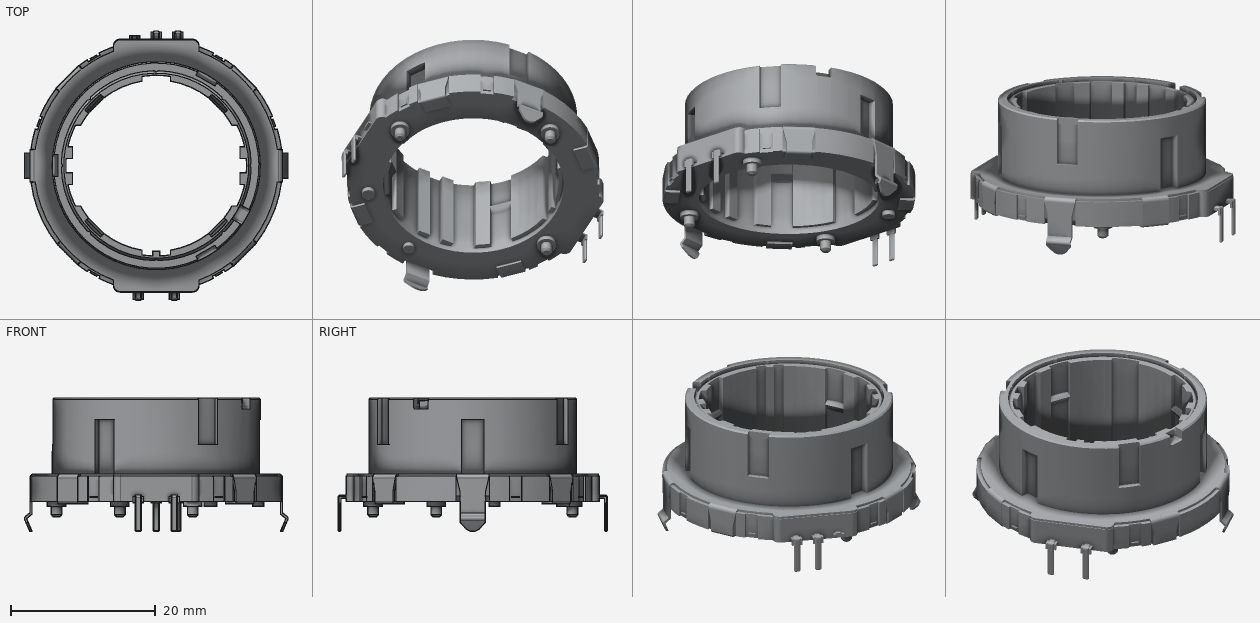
import cadquery as cq
import math

base_height = 3.5
sheet = 0.33
cover_top = base_height + sheet
sleeve_top = 14.35
rotor_top = 13.95
lowest_z = -4.15

bore_radius = 12.5
base_radius = 17.5
cover_radius = 16.9
sleeve_radius = 14.4
sleeve_bore_radius = 13.15
rotor_shoulder_radius = 12.8
rim_chamfer = 0.2

pad_half_width = 5.93
pad_reach = 17.52
pad_corner = 0.95
cover_pad_inset = 0.1

slot_width = 3.05
upper_slot_floor = 13.6
upper_slot_bottom = 7.9
upper_slot_angles = (60, 180, 300)
lower_slot_floor = 13.25
lower_slot_top = 11.33
lower_slot_angles = (0, 120, 240)

rim_notch_angle = -30
rim_notch_width = 2.3
rim_notch_depth = 1.58
rim_notch_corner = 0.3

rim_ridge_count = 8
rim_ridge_width = 1.0
rim_ridge_height = 0.2

rib_radius = 11.85
rib_bottom = 0.9
rib_near_x = 1.95
rib_near_y = 5.58
side_tooth_inner = 11.57
side_tooth_width = 1.67
side_tooth_offset = 1.8
key_width = 1.02
key_inner = 11.83

gap_angles = (45, 135, 225, 315)
gap_width = 3.06
catch_top = 9.15
catch_lip_radius = 12.1
catch_lip_z = 9.0
catch_nose_radius = 11.75
catch_nose_z = 8.65
catch_bottom = 7.62

tab_top_width = 4.46
tab_width = 3.52
taper_start_z = 3.3
taper_end_z = 1.4
bend_radius = 0.6
tab_root = 16.0
tab_clearance = 0.06
tapered_clamp_angles = (45, 135, 315)
straight_clamp_angle = 225
straight_clamp_width = 3.95
clamp_fold_radius = 0.35
clamp_reach = 17.4
clamp_foot_inner = 15.3
spring_angles = (0, 180)
spring_reach = 17.5
spring_bend_z = -1.57
spring_slant_reach = 18.0
spring_slant_z = -1.98
spring_knee_reach = 18.25
spring_knee_z = -2.375
spring_return_reach = 18.15
spring_return_z = -2.65
spring_tip_reach = 17.17
spring_shoulder_z = -2.9
spring_tip_half_width = 0.9
spring_tip_rise = 0.35
relief_height = 0.78
relief_depth = 0.4

panel_angles = (20, 60, 120, 160, 240, 300)
panel_width = 1.85
panel_reach = 17.15
ridge_width = 1.05
ridge_height = 0.15
ridge_z = 0.63
ridge_reach = 17.4

foot_height = 0.66
peg_radius = 0.76
peg_bottom = -2.12
peg_chamfer = 0.3
peg_foot_radius = 1.3
peg_places = ((-13.8, -5.05), (-5.05, 13.8), (5.05, -13.8))
standoffs = ((14.1, 3.0, 0.78), (7.5, 12.5, 0.9))

pin_reach = 18.65
pin_thickness = 0.42
pin_width = 0.9
pin_edge_chamfer = 0.15
pin_top = 0.92
pin_root = 16.8
pin_bend = 0.35
head_width = 1.46
head_reach = 18.5
head_thickness = 0.3
head_bottom = -0.2
head_top = 0.72
front_pins = (-2.5, 2.5)
rear_pins = (0, 3.0)
rear_stub_x = -3.0
stub_reach = 18.0

overlap = 0.1
clear = 1.0


def cylinder(radius, bottom, top):
    return cq.Workplane("XY").workplane(offset=bottom).circle(radius).extrude(top - bottom)


def block(x_range, y_range, z_range):
    size = [high - low for low, high in (x_range, y_range, z_range)]
    corner = (x_range[0], y_range[0], z_range[0])
    return cq.Workplane("XY").box(*size, centered=False).translate(corner)


def radial_block(inner, outer, width, bottom, top):
    """Block along +X, centred on y = 0."""
    return block((inner, outer), (-width / 2, width / 2), (bottom, top))


def turned(shape, angle):
    return shape.rotate((0, 0, 0), (0, 0, 1), angle)


def disc_with_pads(radius, half_width, reach, corner, bottom, top):
    """Round plate widened by a straight pad at +Y and at -Y."""
    pads = block((-half_width, half_width), (-reach, reach), (bottom, top))
    pads = pads.edges("|Z").fillet(corner)
    return cylinder(radius, bottom, top).union(pads)


def make_base():
    base = disc_with_pads(base_radius, pad_half_width, pad_reach, pad_corner, 0, base_height)
    cover = disc_with_pads(
        cover_radius, pad_half_width, pad_reach - cover_pad_inset, pad_corner, base_height, cover_top
    )
    for angle in tapered_clamp_angles:
        base = base.cut(turned(make_tab_notch(clamp_reach, tab_top_width), angle))
    base = base.cut(turned(make_tab_notch(clamp_reach, straight_clamp_width), straight_clamp_angle))
    for angle in spring_angles:
        base = base.cut(turned(make_tab_notch(spring_reach, tab_top_width), angle))
        base = base.cut(turned(make_spring_relief(), angle))
    panel = make_panel_cutter()
    ridge = make_panel_ridge()
    for angle in panel_angles:
        base = base.cut(turned(panel, angle))
        base = base.union(turned(ridge, angle))
    return base.union(cover)


def make_tab_notch(reach, width):
    floor = reach - sheet - tab_clearance
    return radial_block(floor, reach + clear, width + 2 * tab_clearance, -overlap, base_height + overlap)


def make_spring_relief():
    """Wedge that bevels the lower edge of the notch floor."""
    floor = spring_reach - sheet - tab_clearance
    profile = [(floor, relief_height), (floor - relief_depth, 0), (floor, 0)]
    half_width = tab_top_width / 2 + tab_clearance
    return cq.Workplane("XZ").polyline(profile).close().extrude(half_width, both=True)


def make_panel_cutter():
    return radial_block(panel_reach, base_radius + clear, panel_width, -overlap, base_height + overlap)


def make_panel_ridge():
    half_height = ridge_height / 2
    return radial_block(
        panel_reach - overlap, ridge_reach, ridge_width, ridge_z - half_height, ridge_z + half_height
    )


def make_sleeve():
    sleeve = cylinder(sleeve_radius, 0, sleeve_top).faces(">Z").edges().chamfer(rim_chamfer)
    outside = sleeve_radius + clear
    upper = radial_block(upper_slot_floor, outside, slot_width, upper_slot_bottom, sleeve_top + overlap)
    for angle in upper_slot_angles:
        sleeve = sleeve.cut(turned(upper, angle))
    lower = radial_block(lower_slot_floor, outside, slot_width, cover_top, lower_slot_top)
    for angle in lower_slot_angles:
        sleeve = sleeve.cut(turned(lower, angle))
    rim_notch = radial_block(
        rotor_shoulder_radius, outside, rim_notch_width, sleeve_top - rim_notch_depth, sleeve_top + clear
    )
    rim_notch = rim_notch.edges("|X and <Z").fillet(rim_notch_corner)
    return sleeve.cut(turned(rim_notch, rim_notch_angle))


def make_bore_cutter():
    """Turned cavity: plain bore, flat rotor top, sloped step and rim bore."""
    step = sleeve_bore_radius - rotor_shoulder_radius
    profile = [
        (0, -clear),
        (bore_radius, -clear),
        (bore_radius, rotor_top),
        (rotor_shoulder_radius, rotor_top),
        (sleeve_bore_radius, rotor_top - step),
        (sleeve_bore_radius, sleeve_top + clear),
        (0, sleeve_top + clear),
    ]
    return cq.Workplane("XZ").polyline(profile).close().revolve(360, (0, 0, 0), (0, 1, 0))


def make_rim_ridge():
    root = sleeve_bore_radius + overlap
    half_width = rim_ridge_width / 2
    profile = [(root, -half_width), (sleeve_bore_radius - rim_ridge_height, 0), (root, half_width)]
    bottom = rotor_top - sleeve_bore_radius + rotor_shoulder_radius
    return cq.Workplane("XY").workplane(offset=bottom).polyline(profile).close().extrude(sleeve_top - bottom)


def make_catch():
    """Snap catch standing in a rib gap."""
    root = bore_radius + overlap
    profile = [
        (root, catch_top),
        (bore_radius, catch_top),
        (catch_lip_radius, catch_lip_z),
        (catch_nose_radius, catch_nose_z),
        (bore_radius, catch_bottom),
        (root, catch_bottom),
    ]
    return cq.Workplane("XZ").polyline(profile).close().extrude(gap_width / 2, both=True)


def make_bore_ribs():
    outer = bore_radius + overlap
    ribs = cylinder(outer, rib_bottom, rotor_top).cut(cylinder(rib_radius, 0, sleeve_top))
    heights = (0, sleeve_top)
    ribs = ribs.cut(block((-rib_near_x, rib_near_x), (-outer, outer), heights))
    ribs = ribs.cut(block((-outer, outer), (-rib_near_y, rib_near_y), heights))
    gap = radial_block(0, outer, gap_width, 0, sleeve_top)
    catch = make_catch()
    for angle in gap_angles:
        ribs = ribs.cut(turned(gap, angle)).union(turned(catch, angle))
    for side in (0, 180):
        for offset in (-side_tooth_offset, side_tooth_offset):
            tooth = radial_block(side_tooth_inner, outer, side_tooth_width, rib_bottom, rotor_top)
            ribs = ribs.union(turned(tooth.translate((0, offset, 0)), side))
    key = radial_block(key_inner, outer, key_width, rib_bottom, rotor_top)
    return ribs.union(turned(key, -90)).intersect(cylinder(outer, 0, sleeve_top))


def tab_start(reach):
    """Outer side of a tab as far as the end of its top bend."""
    bend_shift = bend_radius * (1 - math.sqrt(0.5))
    return (
        cq.Workplane("XZ")
        .moveTo(tab_root, cover_top)
        .lineTo(reach - bend_radius, cover_top)
        .threePointArc((reach - bend_shift, cover_top - bend_shift), (reach, cover_top - bend_radius))
    )


def tab_end(profile, reach, width):
    """Inner side of the top bend, back to the root of the tab."""
    inner_radius = bend_radius - sheet
    inner_x = reach - sheet
    shift = inner_radius * (1 - math.sqrt(0.5))
    return (
        profile.lineTo(inner_x, cover_top - bend_radius)
        .threePointArc((inner_x - shift, base_height - shift), (inner_x - inner_radius, base_height))
        .lineTo(tab_root, base_height)
        .close()
        .extrude(width / 2, both=True)
    )


def taper_outline(lower_end):
    """Face of a tapered tab in Y and Z; lower_end adds its part below the taper, from +Y to -Y."""
    outline = (
        cq.Workplane("YZ")
        .moveTo(tab_top_width / 2, cover_top + overlap)
        .lineTo(tab_top_width / 2, taper_start_z)
        .lineTo(tab_width / 2, taper_end_z)
    )
    return (
        lower_end(outline)
        .lineTo(-tab_width / 2, taper_end_z)
        .lineTo(-tab_top_width / 2, taper_start_z)
        .lineTo(-tab_top_width / 2, cover_top + overlap)
        .close()
        .extrude(2 * base_radius)
    )


def square_end(outline):
    return outline.lineTo(tab_width / 2, -clear).lineTo(-tab_width / 2, -clear)


def rounded_tip(outline):
    tip_z = lowest_z + spring_tip_rise
    return (
        outline.lineTo(tab_width / 2, spring_shoulder_z)
        .lineTo(spring_tip_half_width, tip_z)
        .threePointArc((0, lowest_z), (-spring_tip_half_width, tip_z))
        .lineTo(-tab_width / 2, spring_shoulder_z)
    )


def make_clamp_tab(width):
    """Tab bent down the side of the base and folded inward under it."""
    profile = (
        tab_start(clamp_reach)
        .lineTo(clamp_reach, -sheet)
        .lineTo(clamp_foot_inner, -sheet)
        .lineTo(clamp_foot_inner, 0)
        .lineTo(clamp_reach - sheet, 0)
    )
    tab = tab_end(profile, clamp_reach, width)
    return tab.edges("|Y and >X and <Z").edges("<Z").fillet(clamp_fold_radius)


def make_spring_tab():
    """Long tab with a rounded knee and a rounded tip."""
    profile = (
        tab_start(spring_reach)
        .lineTo(spring_reach, spring_bend_z)
        .lineTo(spring_slant_reach, spring_slant_z)
        .threePointArc((spring_knee_reach, spring_knee_z), (spring_return_reach, spring_return_z))
        .lineTo(spring_tip_reach + sheet, lowest_z)
        .lineTo(spring_tip_reach, lowest_z)
        .lineTo(spring_knee_reach - sheet, spring_knee_z)
        .lineTo(spring_reach - sheet, spring_bend_z - sheet / 2)
    )
    return tab_end(profile, spring_reach, tab_top_width).intersect(taper_outline(rounded_tip))


def make_feet():
    feet = cq.Workplane("XY")
    for x, y in peg_places:
        peg = cylinder(peg_radius, peg_bottom, overlap).faces("<Z").edges().chamfer(peg_chamfer)
        peg = peg.union(cylinder(peg_foot_radius, -foot_height, overlap))
        feet = feet.union(peg.translate((x, y, 0)))
    for x, y, radius in standoffs:
        feet = feet.union(cylinder(radius, -foot_height, overlap).translate((x, y, 0)))
    return feet


def make_arm(reach):
    """Bevelled terminal strip leaving the base along +X."""
    arm = radial_block(pin_root, reach, pin_width, pin_top - pin_thickness, pin_top)
    arm = arm.edges("|X").chamfer(pin_edge_chamfer)
    head_end = min(reach, head_reach)
    return arm.union(radial_block(pin_root, head_end, head_width, head_top - head_thickness, head_top))


def make_pin():
    """Terminal whose wide head and narrow leg both turn down at the end of the arm."""
    leg = radial_block(pin_reach - pin_thickness, pin_reach, pin_width, lowest_z, pin_top)
    leg = leg.edges("|Z or <Z").chamfer(pin_edge_chamfer)
    leg = leg.edges("|Y and >X and >Z").fillet(pin_bend)
    head = radial_block(head_reach - head_thickness, head_reach, head_width, head_bottom, head_top)
    return make_arm(pin_reach - pin_bend).union(leg).union(head)


def add_terminals(body):
    pin = make_pin()
    for x in front_pins:
        body = body.union(turned(pin, -90).translate((x, 0, 0)))
    for x in rear_pins:
        body = body.union(turned(pin, 90).translate((x, 0, 0)))
    return body.union(turned(make_arm(stub_reach), 90).translate((rear_stub_x, 0, 0)))


result = make_base().union(make_sleeve()).cut(make_bore_cutter()).union(make_bore_ribs())
rim_ridge = make_rim_ridge()
for index in range(rim_ridge_count):
    result = result.union(turned(rim_ridge, index * 360 / rim_ridge_count))
tapered_clamp = make_clamp_tab(tab_top_width).intersect(taper_outline(square_end))
for angle in tapered_clamp_angles:
    result = result.union(turned(tapered_clamp, angle))
result = result.union(turned(make_clamp_tab(straight_clamp_width), straight_clamp_angle))
spring = make_spring_tab()
for angle in spring_angles:
    result = result.union(turned(spring, angle))
result = add_terminals(result.union(make_feet()))